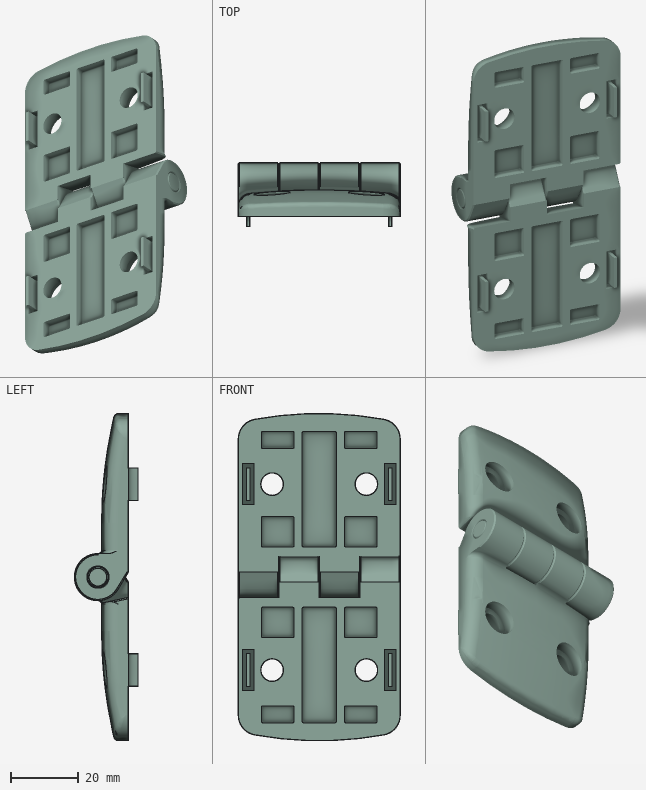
import cadquery as cq
import math

LENGTH = 97.0
WIDTH = 48.0
HALF_LENGTH = LENGTH / 2
HALF_WIDTH = WIDTH / 2

CROWN_HEIGHT = 8.0
CROWN_SAG_RADIUS = 203.7
CROWN_EDGE_RADIUS = 3.9
BEND_START = 16.0
BEND_RADIUS = 137.7
END_ARC_RADIUS = 106.7
CORNER_RADIUS = 6.0
END_FILLET = 1.6

AXIS_Y = 9.0
BARREL_RADIUS = 7.0
RAMP_START = 1.5
KNUCKLES = 4
KNUCKLE_PITCH = WIDTH / KNUCKLES
KNUCKLE_GAP = 0.1
KNUCKLE_CHAMFER = 0.4
ROOT_FILLET = 1.0

RECESS_RADIUS = 7.8
RECESS_START = 6.0
RECESS_CHAMFER = 0.4

TINY = 0.1

PIN_RADIUS = 3.0
PIN_CHAMFER = 0.4
PIN_HOLE_CHAMFER = 0.3

SCREW_X = 14.0
SCREW_Z = 27.5
SCREW_DIAMETER = 6.6
HEAD_DIAMETER = 10.7
HEAD_SEAT = 3.5

POCKET_DEPTH = 3.0
POCKET_CORNER_RADIUS = 0.5
POCKET_FLOOR_FILLET = 0.3
POCKET_BOTTOM = 8.9
POCKET_TOP = 43.2
CENTRE_POCKET_WIDTH = 10.2
SIDE_POCKET_X = 12.3
SIDE_POCKET_WIDTH = 9.7
LOWER_POCKET_HEIGHT = 9.0
UPPER_POCKET_HEIGHT = 5.0

TAB_X = 21.05
TAB_THICKNESS = 1.0
TAB_LENGTH = 9.7
TAB_HEIGHT = 2.9
SLOT_WIDTH = 3.4
SLOT_LENGTH = 12.1


def tangent_point(start_y, start_z, radius, side):
    """Point (Y, Z) where a line from the start touches a circle about the barrel axis."""
    offset_y = start_y - AXIS_Y
    distance = math.hypot(offset_y, start_z)
    angle = math.atan2(start_z, offset_y) + side * math.acos(radius / distance)
    return AXIS_Y + radius * math.cos(angle), radius * math.sin(angle)


def side_prism(profile, x_start, x_end):
    """Extrude a closed YZ profile between two X positions."""
    return profile.extrude(x_end - x_start).translate((x_start, 0, 0))


def back_box(x, z, width, height, depth):
    """Box that goes into the flat back, centred on X and Z."""
    return cq.Workplane("XZ").center(x, z).rect(width, height).extrude(-depth)


def crown_section():
    """XY cross-section of the plate: flat back, short sides, rounded edges, crowned front."""
    sag_centre = CROWN_HEIGHT - CROWN_SAG_RADIUS
    edge_x = HALF_WIDTH - CROWN_EDGE_RADIUS
    lean = math.asin(edge_x / (CROWN_SAG_RADIUS - CROWN_EDGE_RADIUS))
    edge_y = sag_centre + (CROWN_SAG_RADIUS - CROWN_EDGE_RADIUS) * math.cos(lean)
    crown_x = CROWN_SAG_RADIUS * math.sin(lean)
    crown_y = sag_centre + CROWN_SAG_RADIUS * math.cos(lean)
    turn = (math.pi / 2 + lean) / 2
    middle_x = edge_x + CROWN_EDGE_RADIUS * math.sin(turn)
    middle_y = edge_y + CROWN_EDGE_RADIUS * math.cos(turn)
    return (
        cq.Workplane("XY")
        .moveTo(-HALF_WIDTH, -CROWN_HEIGHT)
        .lineTo(HALF_WIDTH, -CROWN_HEIGHT)
        .lineTo(HALF_WIDTH, edge_y)
        .threePointArc((middle_x, middle_y), (crown_x, crown_y))
        .threePointArc((0, CROWN_HEIGHT), (-crown_x, crown_y))
        .threePointArc((-middle_x, middle_y), (-HALF_WIDTH, edge_y))
        .close()
    )


def crowned_slab():
    """Crown section run straight up from the hinge, then bent back on a large radius."""
    straight = crown_section().extrude(BEND_START)
    bend_axis = CROWN_HEIGHT - BEND_RADIUS
    sweep_angle = math.degrees(math.asin(HALF_LENGTH / BEND_RADIUS))
    bent = crown_section().revolve(sweep_angle, (0, bend_axis), (1, bend_axis))
    return straight.union(bent.translate((0, 0, BEND_START)))


def plate_outline():
    """XZ outline: straight sides, rounded corners and a bowed outer end."""
    arc_centre = HALF_LENGTH - END_ARC_RADIUS
    corner_x = HALF_WIDTH - CORNER_RADIUS
    reach = END_ARC_RADIUS - CORNER_RADIUS
    lean = math.asin(corner_x / reach)
    corner_z = arc_centre + reach * math.cos(lean)
    end_x = END_ARC_RADIUS * math.sin(lean)
    end_z = arc_centre + END_ARC_RADIUS * math.cos(lean)
    turn = (math.pi / 2 + lean) / 2
    middle_x = corner_x + CORNER_RADIUS * math.sin(turn)
    middle_z = corner_z + CORNER_RADIUS * math.cos(turn)
    return (
        cq.Workplane("XZ")
        .moveTo(-HALF_WIDTH, RAMP_START)
        .lineTo(HALF_WIDTH, RAMP_START)
        .lineTo(HALF_WIDTH, corner_z)
        .threePointArc((middle_x, middle_z), (end_x, end_z))
        .threePointArc((0, HALF_LENGTH), (-end_x, end_z))
        .threePointArc((-middle_x, middle_z), (-HALF_WIDTH, corner_z))
        .close()
    )


def barrel_profile():
    """YZ profile of the barrel with its ramp to the flat back and its flat top."""
    ramp_end = tangent_point(0, RAMP_START, BARREL_RADIUS, 1)
    return (
        cq.Workplane("YZ")
        .moveTo(0, BARREL_RADIUS)
        .lineTo(0, RAMP_START)
        .lineTo(*ramp_end)
        .threePointArc((AXIS_Y + BARREL_RADIUS, 0), (AXIS_Y, BARREL_RADIUS))
        .close()
    )


def recess_profile():
    """YZ profile cleared for the other leaf's knuckle."""
    wall_end = tangent_point(0, RECESS_START, RECESS_RADIUS, -1)
    clear = AXIS_Y + RECESS_RADIUS
    return (
        cq.Workplane("YZ")
        .moveTo(0, -clear)
        .lineTo(0, RECESS_START)
        .lineTo(*wall_end)
        .threePointArc((AXIS_Y, RECESS_RADIUS), (clear, 0))
        .lineTo(clear, -clear)
        .close()
    )


def leaf_blank():
    """Crowned plate joined by the root fillet to a full-width barrel, then cut to the outline."""
    overhang = BARREL_RADIUS
    front_space = cq.Workplane("XZ", origin=(0, 0, HALF_LENGTH + RAMP_START)).rect(2 * WIDTH, LENGTH)
    slab = crowned_slab().intersect(front_space.extrude(-LENGTH))
    barrel = side_prism(barrel_profile(), -HALF_WIDTH - overhang, HALF_WIDTH + overhang)
    root_edges = cq.selectors.BoxSelector(
        (-WIDTH, TINY, BARREL_RADIUS - TINY),
        (WIDTH, 2 * CROWN_HEIGHT, BARREL_RADIUS + TINY),
        boundingbox=False,
    )
    blank = slab.union(barrel).edges(root_edges).fillet(ROOT_FILLET)
    barrel_space = cq.Workplane("XZ").rect(WIDTH, 2 * RECESS_RADIUS)
    kept_space = plate_outline().extrude(-LENGTH).union(barrel_space.extrude(-LENGTH))
    blank = blank.intersect(kept_space)
    end_edge = cq.selectors.BoxSelector(
        (-TINY, TINY, HALF_LENGTH - CORNER_RADIUS),
        (TINY, CROWN_HEIGHT, HALF_LENGTH + TINY),
    )
    return blank.edges(end_edge).fillet(END_FILLET)


def knuckle_start(place):
    """X of the -X end of the knuckle in a given place; only the first one is flush with the leaf."""
    if place == 0:
        return -HALF_WIDTH
    return place * KNUCKLE_PITCH - HALF_WIDTH + KNUCKLE_GAP / 2


def leaf_body():
    """Upper leaf with recesses for the other leaf's knuckles, in the second and fourth places."""
    leaf = leaf_blank()
    for place in range(1, KNUCKLES, 2):
        recess_start = knuckle_start(place) - KNUCKLE_GAP
        recess_end = knuckle_start(place + 1)
        leaf = leaf.cut(side_prism(recess_profile(), recess_start, recess_end))
    outer_edge = cq.selectors.BoxSelector(
        (HALF_WIDTH - TINY, TINY, RECESS_START),
        (HALF_WIDTH + TINY, CROWN_HEIGHT / 2, RECESS_RADIUS),
    )
    return leaf.edges(outer_edge).chamfer(RECESS_CHAMFER)


def knuckle_template(x_start, x_end):
    """Knuckle with chamfered ends, its ramp carried past the flat back so that edge stays sharp."""
    ramp_y, ramp_z = tangent_point(0, RAMP_START, BARREL_RADIUS, 1)
    past_y = -2 * KNUCKLE_CHAMFER
    past_z = RAMP_START + past_y * (ramp_z - RAMP_START) / ramp_y
    profile = (
        cq.Workplane("YZ")
        .moveTo(past_y, BARREL_RADIUS)
        .lineTo(past_y, past_z)
        .lineTo(ramp_y, ramp_z)
        .threePointArc((AXIS_Y + BARREL_RADIUS, 0), (AXIS_Y, BARREL_RADIUS))
        .close()
    )
    return side_prism(profile, x_start, x_end).faces("<X or >X").edges().chamfer(KNUCKLE_CHAMFER)


def knuckle_rim_profile():
    """YZ area that holds the knuckle's free rim: below the ramp start and in front of the axis."""
    return (
        cq.Workplane("YZ")
        .moveTo(0, -BARREL_RADIUS)
        .lineTo(0, RAMP_START)
        .lineTo(AXIS_Y, RAMP_START)
        .lineTo(AXIS_Y, BARREL_RADIUS)
        .lineTo(AXIS_Y + BARREL_RADIUS, BARREL_RADIUS)
        .lineTo(AXIS_Y + BARREL_RADIUS, -BARREL_RADIUS)
        .close()
    )


def chamfer_knuckles(leaf):
    """Break the rims of both knuckles along the ramp and the barrel, up to its top line."""
    for place in range(0, KNUCKLES, 2):
        x_start = knuckle_start(place)
        x_end = knuckle_start(place + 1) - KNUCKLE_GAP
        rim = side_prism(knuckle_rim_profile(), x_start, x_end)
        leaf = leaf.cut(rim.cut(knuckle_template(x_start, x_end)))
    return leaf


def cut_screw_hole(leaf, x):
    """Through hole with a counterbore sunk from the crowned front."""
    hole = cq.Workplane("XZ").center(x, SCREW_Z).circle(SCREW_DIAMETER / 2).extrude(-LENGTH)
    seat = cq.Workplane("XZ", origin=(0, HEAD_SEAT, 0)).center(x, SCREW_Z)
    return leaf.cut(hole).cut(seat.circle(HEAD_DIAMETER / 2).extrude(-LENGTH))


def pocket(x, z, width, height):
    """Pocket cutter with rounded corners and a rounded floor edge."""
    cutter = back_box(x, z, width, height, POCKET_DEPTH)
    return cutter.edges("|Y").fillet(POCKET_CORNER_RADIUS).faces(">Y").edges().fillet(POCKET_FLOOR_FILLET)


def cut_pockets(leaf):
    """One long centre pocket and a short pair on each side of it."""
    centre_height = POCKET_TOP - POCKET_BOTTOM
    leaf = leaf.cut(pocket(0, POCKET_BOTTOM + centre_height / 2, CENTRE_POCKET_WIDTH, centre_height))
    for x in (-SIDE_POCKET_X, SIDE_POCKET_X):
        lower_z = POCKET_BOTTOM + LOWER_POCKET_HEIGHT / 2
        upper_z = POCKET_TOP - UPPER_POCKET_HEIGHT / 2
        leaf = leaf.cut(pocket(x, lower_z, SIDE_POCKET_WIDTH, LOWER_POCKET_HEIGHT))
        leaf = leaf.cut(pocket(x, upper_z, SIDE_POCKET_WIDTH, UPPER_POCKET_HEIGHT))
    return leaf


def add_tab(leaf, x):
    """Slot in the flat back with a thin tab rising from its floor."""
    slot = back_box(x, SCREW_Z, SLOT_WIDTH, SLOT_LENGTH, POCKET_DEPTH)
    tab = back_box(x, SCREW_Z, TAB_THICKNESS, TAB_LENGTH, POCKET_DEPTH + TAB_HEIGHT)
    return leaf.cut(slot).union(tab.translate((0, -TAB_HEIGHT, 0)))


def bore_pin_hole(leaf):
    """Hole through both knuckles, chamfered at the leaf's own end."""
    hole = cq.Workplane("YZ").center(AXIS_Y, 0).circle(PIN_RADIUS).extrude(WIDTH)
    mouth = cq.Solid.makeCone(
        PIN_RADIUS + PIN_HOLE_CHAMFER, PIN_RADIUS, PIN_HOLE_CHAMFER,
        pnt=cq.Vector(-HALF_WIDTH, AXIS_Y, 0), dir=cq.Vector(1, 0, 0),
    )
    return leaf.cut(hole.translate((-HALF_WIDTH, 0, 0))).cut(cq.Workplane(mouth))


def hinge_leaf():
    """One complete leaf, pointing up."""
    leaf = chamfer_knuckles(leaf_body())
    for x in (-SCREW_X, SCREW_X):
        leaf = cut_screw_hole(leaf, x)
    leaf = cut_pockets(leaf)
    for x in (-TAB_X, TAB_X):
        leaf = add_tab(leaf, x)
    return bore_pin_hole(leaf)


def hinge_pin():
    """Pin along the barrel axis, flush with both ends."""
    pin = cq.Workplane("YZ").center(AXIS_Y, 0).circle(PIN_RADIUS).extrude(WIDTH)
    return pin.translate((-HALF_WIDTH, 0, 0)).faces("<X or >X").edges().chamfer(PIN_CHAMFER)


upper_leaf = hinge_leaf()
lower_leaf = upper_leaf.rotate((0, 0, 0), (0, 1, 0), 180)
pin = hinge_pin()

result = cq.Compound.makeCompound([upper_leaf.val(), lower_leaf.val(), pin.val()])